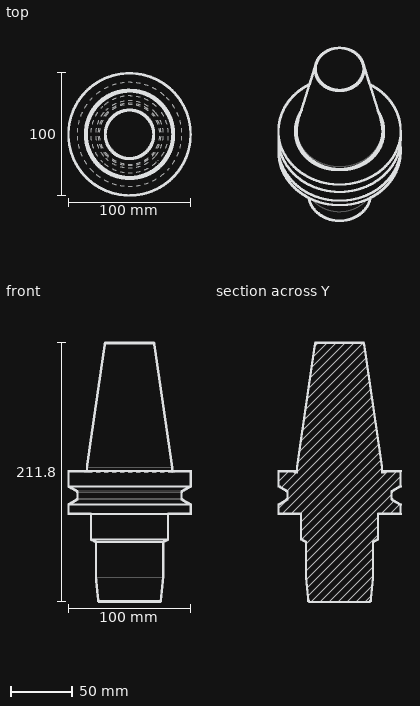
import cadquery as cq
import math

total_length = 211.8
gauge_height = 110.0
flange_top = 107.0
flange_bottom = 72.0
groove_center = 87.0
shoulder_bottom = 49.0
nose_taper_start = 20.1

flange_radius = 50.0
groove_radius = 42.5
gauge_radius = 35.0
neck_recess_radius = 36.5
shoulder_radius = 31.5
body_radius = 27.5
nose_radius = 25.6

taper_ratio = 7 / 24
taper_chamfer = 0.6
nose_chamfer = 1.0
groove_floor_width = 6.4
groove_root_fillet = 1.0
neck_recess_depth = 1.0
groove_wall_angle = math.radians(30)
shoulder_chamfer_angle = math.radians(30)

taper_length = total_length - gauge_height
taper_end_radius = gauge_radius - taper_length * taper_ratio / 2
chamfered_taper_radius = taper_end_radius + taper_chamfer * taper_ratio / 2
groove_wall_height = (flange_radius - groove_radius) * math.tan(groove_wall_angle)
groove_half_floor = groove_floor_width / 2
groove_half_mouth = groove_half_floor + groove_wall_height
shoulder_chamfer_height = (shoulder_radius - body_radius) * math.tan(shoulder_chamfer_angle)

half_section = [
    (0, 0),
    (nose_radius - nose_chamfer, 0),
    (nose_radius, nose_chamfer),
    (body_radius, nose_taper_start),
    (body_radius, shoulder_bottom),
    (shoulder_radius, shoulder_bottom + shoulder_chamfer_height),
    (shoulder_radius, flange_bottom),
    (flange_radius, flange_bottom),
    (flange_radius, groove_center - groove_half_mouth),
    (groove_radius, groove_center - groove_half_floor),
    (groove_radius, groove_center + groove_half_floor),
    (flange_radius, groove_center + groove_half_mouth),
    (flange_radius, flange_top),
    (neck_recess_radius, flange_top),
    (neck_recess_radius, flange_top - neck_recess_depth),
    (gauge_radius, flange_top - neck_recess_depth),
    (gauge_radius, gauge_height),
    (chamfered_taper_radius, total_length - taper_chamfer),
    (taper_end_radius - taper_chamfer, total_length),
    (0, total_length),
]

tool_holder = cq.Workplane("XZ").polyline(half_section).close().revolve(360, (0, 0, 0), (0, 1, 0))


def groove_root_edges(solid):
    """Return the two circular edges where the groove floor meets its walls."""
    half_size = groove_radius + groove_root_fillet
    half_height = groove_half_floor + groove_root_fillet
    root_zone = cq.selectors.BoxSelector(
        (-half_size, -half_size, groove_center - half_height),
        (half_size, half_size, groove_center + half_height),
        boundingbox=True,
    )
    return solid.edges("%CIRCLE").edges(root_zone)


result = groove_root_edges(tool_holder).fillet(groove_root_fillet)